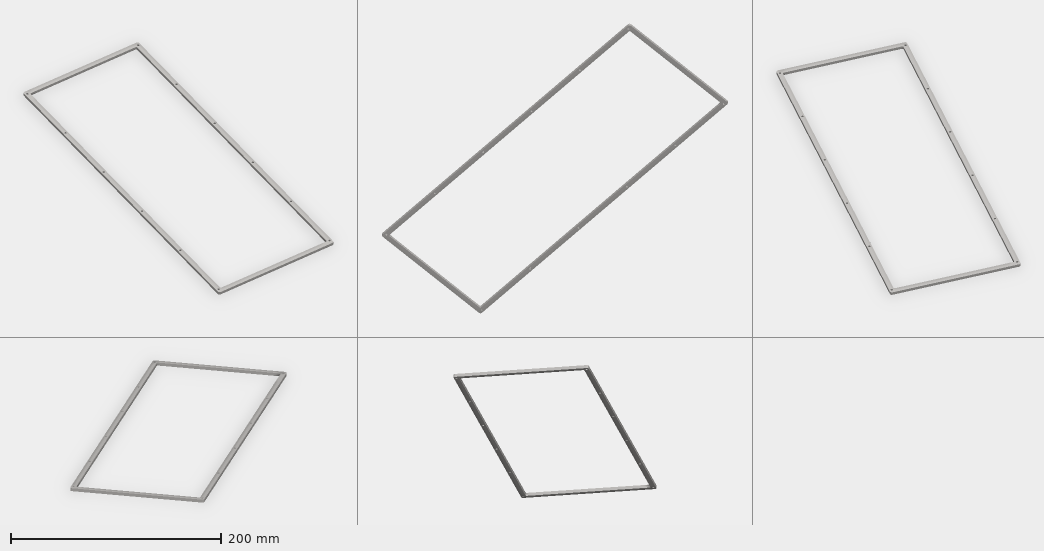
import cadquery as cq

length = 340.0
width = 131.0
thickness = 3.0

rail_width = 5.0
outer_corner_radius = 2.0
inner_corner_radius = 1.0

hole_diameter = 2.2
holes_per_row = 6
left_end_inset = 4.0
right_end_inset = 4.5
hole_pitch = (length - left_end_inset - right_end_inset) / (holes_per_row - 1)
row_spacing = width - rail_width
row_center_x = (left_end_inset - right_end_inset) / 2


def rounded_plate(size_x, size_y, corner_radius):
    """Flat plate resting on Z = 0 with rounded vertical corners."""
    plate = cq.Workplane("XY").box(size_x, size_y, thickness, centered=(True, True, False))
    return plate.edges("|Z").fillet(corner_radius)


def frame():
    """Rectangular frame of four equally wide rails."""
    outside = rounded_plate(length, width, outer_corner_radius)
    opening = rounded_plate(length - 2 * rail_width, width - 2 * rail_width, inner_corner_radius)
    return outside.cut(opening)


def drill_screw_holes(body):
    """Through holes evenly spaced along the middle of both long rails."""
    return (
        body.faces(">Z")
        .workplane(origin=(row_center_x, 0, thickness))
        .rarray(hole_pitch, row_spacing, holes_per_row, 2)
        .hole(hole_diameter)
    )


result = drill_screw_holes(frame())